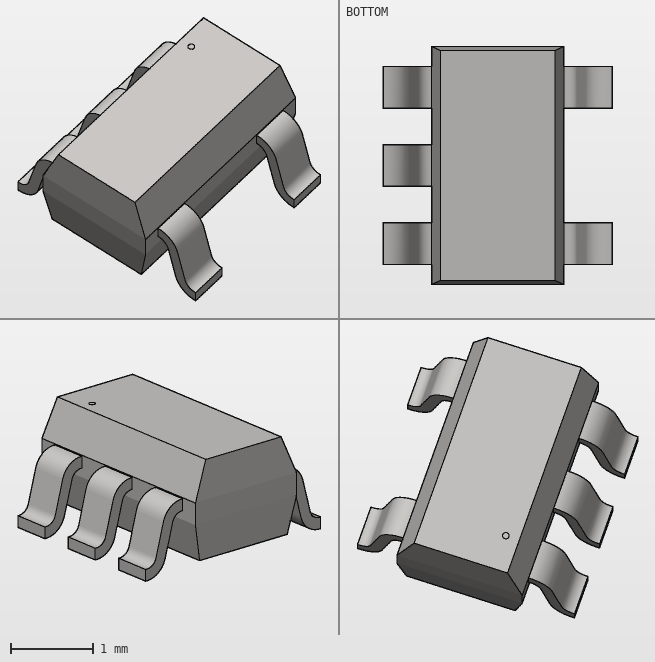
import cadquery as cq
import math

HOUSING_LENGTH = 2.9
HOUSING_WIDTH = 1.612
TOP_WIDTH = 1.2
BOTTOM_WIDTH = 1.398
END_INSET = 0.05
TOP_Z = 1.45
WAIST_TOP_Z = 0.945
WAIST_BOTTOM_Z = 0.655
BOTTOM_Z = 0.155

LEAD_SPAN = 2.79
LEAD_WIDTH = 0.51
LEAD_PITCH = 0.95
LEAD_THICKNESS = 0.155
LEAD_TOP_Z = 0.93
FOOT_FLAT = 0.02
INNER_RADIUS = 0.15
OUTER_RADIUS = INNER_RADIUS + LEAD_THICKNESS
LEG_LEAN = 15.0

MARKER_DIAMETER = 0.08
MARKER_DEPTH = 0.015
MARKER_X = -0.425
MARKER_Y = LEAD_PITCH


def make_taper(start_z, end_z, end_width):
    """Frustum from the waist outline at start_z to a smaller one at end_z."""
    return (
        cq.Workplane("XY", origin=(0, 0, start_z))
        .rect(HOUSING_WIDTH, HOUSING_LENGTH)
        .workplane(offset=end_z - start_z)
        .rect(end_width, HOUSING_LENGTH - 2 * END_INSET)
        .loft(ruled=True)
    )


def make_marker():
    return (
        cq.Workplane("XY", origin=(MARKER_X, MARKER_Y, TOP_Z - MARKER_DEPTH))
        .circle(MARKER_DIAMETER / 2)
        .extrude(MARKER_DEPTH)
    )


def make_housing():
    waist = (
        cq.Workplane("XY", origin=(0, 0, WAIST_BOTTOM_Z))
        .rect(HOUSING_WIDTH, HOUSING_LENGTH)
        .extrude(WAIST_TOP_Z - WAIST_BOTTOM_Z)
    )
    upper = make_taper(WAIST_TOP_Z, TOP_Z, TOP_WIDTH)
    lower = make_taper(WAIST_BOTTOM_Z, BOTTOM_Z, BOTTOM_WIDTH)
    return waist.union(upper).union(lower).cut(make_marker())


def point_on_bend(center, radius, degrees):
    angle = math.radians(degrees)
    return (center[0] + radius * math.cos(angle), center[1] + radius * math.sin(angle))


def make_left_lead(y):
    """Lead on the -X side, centred on y, ending at the housing wall."""
    tip_x = -LEAD_SPAN / 2
    wall_x = -HOUSING_WIDTH / 2

    lean = math.radians(LEG_LEAN)
    foot_center = (tip_x + FOOT_FLAT, OUTER_RADIUS)
    shoulder_z = LEAD_TOP_Z - OUTER_RADIUS
    radius_sum = INNER_RADIUS + OUTER_RADIUS
    center_rise = shoulder_z - foot_center[1]
    center_run = radius_sum / math.cos(lean) + center_rise * math.tan(lean)
    shoulder_center = (foot_center[0] + center_run, shoulder_z)

    foot_start, foot_end = -90, -LEG_LEAN
    foot_middle = (foot_start + foot_end) / 2
    shoulder_start, shoulder_end = 180 - LEG_LEAN, 90
    shoulder_middle = (shoulder_start + shoulder_end) / 2

    return (
        cq.Workplane("XZ", origin=(0, y + LEAD_WIDTH / 2, 0))
        .moveTo(tip_x, 0)
        .lineTo(foot_center[0], 0)
        .threePointArc(
            point_on_bend(foot_center, OUTER_RADIUS, foot_middle),
            point_on_bend(foot_center, OUTER_RADIUS, foot_end),
        )
        .lineTo(*point_on_bend(shoulder_center, INNER_RADIUS, shoulder_start))
        .threePointArc(
            point_on_bend(shoulder_center, INNER_RADIUS, shoulder_middle),
            point_on_bend(shoulder_center, INNER_RADIUS, shoulder_end),
        )
        .lineTo(wall_x, LEAD_TOP_Z - LEAD_THICKNESS)
        .lineTo(wall_x, LEAD_TOP_Z)
        .lineTo(shoulder_center[0], LEAD_TOP_Z)
        .threePointArc(
            point_on_bend(shoulder_center, OUTER_RADIUS, shoulder_middle),
            point_on_bend(shoulder_center, OUTER_RADIUS, shoulder_start),
        )
        .lineTo(*point_on_bend(foot_center, INNER_RADIUS, foot_end))
        .threePointArc(
            point_on_bend(foot_center, INNER_RADIUS, foot_middle),
            point_on_bend(foot_center, INNER_RADIUS, foot_start),
        )
        .lineTo(tip_x, LEAD_THICKNESS)
        .close()
        .extrude(LEAD_WIDTH)
    )


def make_right_lead(y):
    """Lead on the +X side: a left lead turned half a turn about Z."""
    return make_left_lead(-y).rotate((0, 0, 0), (0, 0, 1), 180)


housing = make_housing()
marker = make_marker()
left_leads = [make_left_lead(y) for y in (-LEAD_PITCH, 0, LEAD_PITCH)]
right_leads = [make_right_lead(y) for y in (-LEAD_PITCH, LEAD_PITCH)]
leads = [lead.val() for lead in left_leads + right_leads]

result = cq.Compound.makeCompound([housing.val(), marker.val(), *leads])